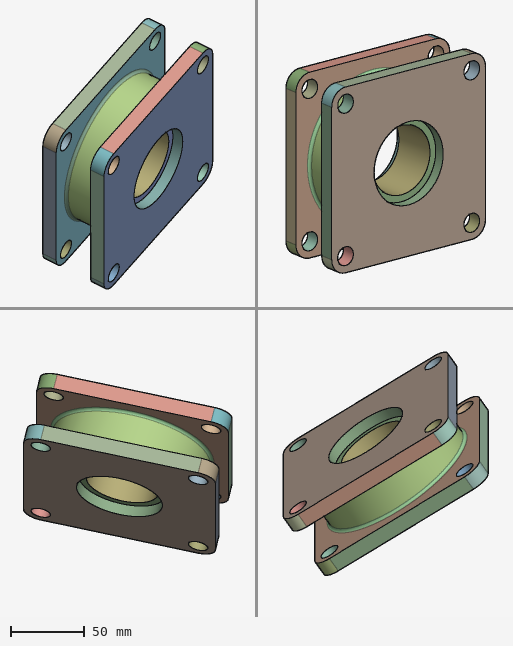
import cadquery as cq

width = 50.0
flange_side = 134.0
flange_thickness = 11.0
corner_radius = 12.0

hub_diameter = 110.0
hub_fillet = 2.0

bore_diameter = 50.0
recess_diameter = 60.0
recess_depth = 8.0

bolt_diameter = 13.5
bolt_spacing = flange_side - 2 * corner_radius

half_width = width / 2
inner_face = half_width - flange_thickness


def flange(start_x):
    """Square plate with rounded corners, extending toward +X from start_x."""
    return (
        cq.Workplane("YZ", origin=(start_x, 0, 0))
        .rect(flange_side, flange_side)
        .extrude(flange_thickness)
        .edges("|X")
        .fillet(corner_radius)
    )


def hub():
    """Cylinder between the flanges, flaring with a concave fillet at each end."""
    radius = hub_diameter / 2
    flare_radius = radius + hub_fillet
    straight_end = inner_face - hub_fillet
    arc_offset = hub_fillet * (1 - 0.5 ** 0.5)
    arc_x = inner_face - arc_offset
    arc_y = radius + arc_offset
    return (
        cq.Workplane("XY")
        .moveTo(-inner_face, 0)
        .lineTo(-inner_face, flare_radius)
        .threePointArc((-arc_x, arc_y), (-straight_end, radius))
        .lineTo(straight_end, radius)
        .threePointArc((arc_x, arc_y), (inner_face, flare_radius))
        .lineTo(inner_face, 0)
        .close()
        .revolve(360, (0, 0, 0), (1, 0, 0))
    )


outer_face = cq.Workplane("YZ", origin=(-half_width, 0, 0))
bore = outer_face.circle(bore_diameter / 2).extrude(width)
recess = outer_face.circle(recess_diameter / 2).extrude(recess_depth)
bolt_holes = (
    outer_face.rect(bolt_spacing, bolt_spacing, forConstruction=True)
    .vertices()
    .circle(bolt_diameter / 2)
    .extrude(width)
)

body = flange(-half_width).union(hub()).union(flange(inner_face))
result = body.cut(bore).cut(recess).cut(recess.mirror("YZ")).cut(bolt_holes)